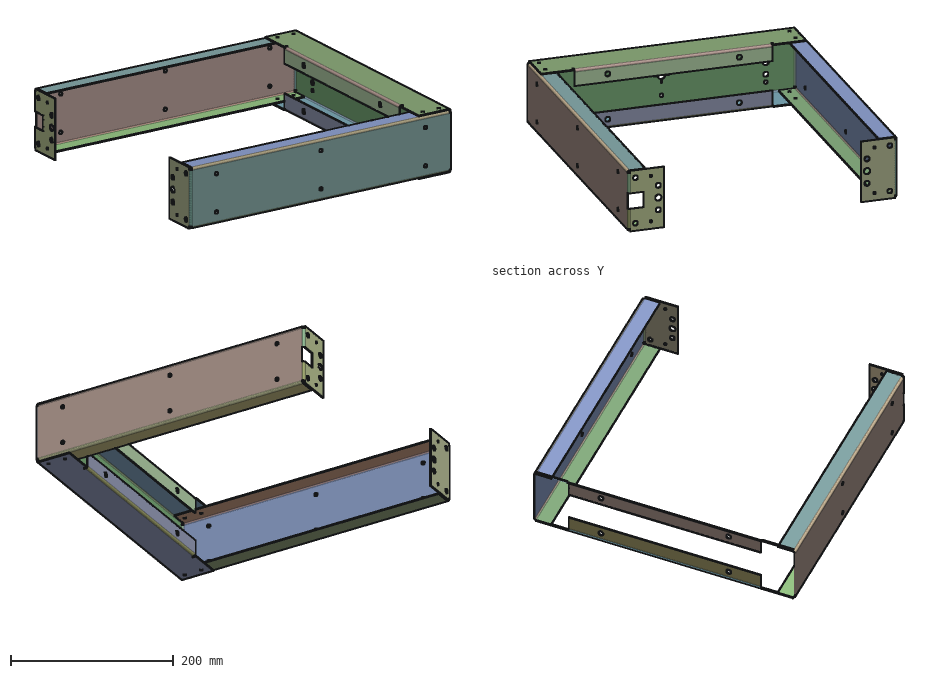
import cadquery as cq

WIDTH = 350.0
DEPTH = 385.0
HEIGHT = 83.0

SHEET = 1.5
BEND_OUTER = 3.0
BEND_INNER = BEND_OUTER - SHEET

SIDE_HEIGHT = HEIGHT - 2 * SHEET
SIDE_FLANGE = 23.5
REAR_FLANGE = 47.0
LIP_HALF_LENGTH = 128.5
LIP_GAP = 39.0
LIP_RELIEF = 1.5
LIP_STEP = 0.5
END_FLANGE = 47.0

HALF_WIDTH = WIDTH / 2
HALF_DEPTH = DEPTH / 2
FLAT_X = HALF_WIDTH - BEND_OUTER
FLAT_Y = HALF_DEPTH - BEND_OUTER
FLANGE_EDGE_Y = HALF_DEPTH - REAR_FLANGE
LIP_FACE_Y = FLANGE_EDGE_Y - LIP_STEP
BEND_HALF_HEIGHT = SIDE_HEIGHT / 2 - BEND_OUTER

LIP_HOLE, LIP_HOLE_X, LIP_HOLE_Z = 6.5, 85.5, 30.0
WEB_HOLE = 4.5
WEB_HOLE_EDGE = 15.0
SIDE_WEB_HOLE_Y = 153.5
REAR_WEB_HOLE_X = 135.5
RIVET_HOLE, RIVET_X, RIVET_Y = 3.3, 162.5, (157.5, 181.0)
CORNER_HOLE, CORNER_HOLE_X = 6.0, 165.0
PILOT_HOLE, PILOT_HOLE_X = 3.0, 145.0
END_HOLE_Z = 30.0
RACK_X = 135.5
RACK_HOLE, RACK_HOLE_Z = 6.5, 16.0
RACK_CENTRE_HOLE = 8.0

CROSS_HOLE = 10.0
CROSS_SPAN = 20.0
CROSS_SLOT = 1.5

WINDOW_WIDTH = 20.5
WINDOW_HEIGHT = 20.5


def block(x_range, y_range, z_range):
    """Box between two limits on each axis."""
    limits = (x_range, y_range, z_range)
    size = [high - low for low, high in limits]
    centre = [(high + low) / 2 for low, high in limits]
    return cq.Workplane("XY").box(*size).translate(tuple(centre))


def tube(x_range, y_range, z_range, axis):
    """Folded sheet tube along an axis, with rounded bends."""
    outer = block(x_range, y_range, z_range).edges("|" + axis).fillet(BEND_OUTER)
    walls = {"X": x_range, "Y": y_range, "Z": z_range}
    for name, (low, high) in walls.items():
        if name != axis:
            walls[name] = (low + SHEET, high - SHEET)
    inner = block(walls["X"], walls["Y"], walls["Z"]).edges("|" + axis).fillet(BEND_INNER)
    return outer.cut(inner)


def both_sides(left):
    """Left-hand body joined with its mirror image."""
    return left.union(left.mirror("YZ"))


def bore_y(diameter, points, y_range):
    """Round cutters along Y at (x, z) points."""
    start, end = y_range
    plane = cq.Workplane("XZ", origin=(0, start, 0))
    return plane.pushPoints(points).circle(diameter / 2).extrude(start - end)


def four_corners(a, b):
    """Points mirrored about both axes of a plane."""
    return [(i * a, j * b) for i in (-1, 1) for j in (-1, 1)]


def rear_channel():
    """Rear web with top and bottom flanges and two inturned lips."""
    z_range = (-HEIGHT / 2, HEIGHT / 2)

    channel = tube((-FLAT_X, FLAT_X), (FLANGE_EDGE_Y - BEND_OUTER, HALF_DEPTH), z_range, "X")
    channel = channel.cut(block((-WIDTH, WIDTH), (0, FLANGE_EDGE_Y), (-HEIGHT, HEIGHT)))

    notch_back = FLANGE_EDGE_Y + BEND_OUTER + LIP_RELIEF
    notch_x = LIP_HALF_LENGTH + LIP_RELIEF
    channel = channel.cut(block((-notch_x, notch_x), (0, notch_back), (-HEIGHT, HEIGHT)))

    lip_x = (-LIP_HALF_LENGTH, LIP_HALF_LENGTH)
    lips = tube(lip_x, (LIP_FACE_Y, HALF_DEPTH), z_range, "X")
    lips = lips.intersect(block(lip_x, (0, notch_back), (-HEIGHT, HEIGHT)))
    lips = lips.cut(block(lip_x, (0, notch_back), (-LIP_GAP / 2, LIP_GAP / 2)))
    return channel.union(lips)


def side_channel():
    """Left side web with its top and bottom flanges."""
    inner_edge = -HALF_WIDTH + SIDE_FLANGE
    z_range = (-SIDE_HEIGHT / 2, SIDE_HEIGHT / 2)
    y_range = (-FLAT_Y, FLAT_Y)
    channel = tube((-HALF_WIDTH, inner_edge + BEND_OUTER), y_range, z_range, "Y")
    return channel.cut(block((inner_edge, 0), (-DEPTH, DEPTH), (-HEIGHT, HEIGHT)))


def corner_bends():
    """Vertical bends at the two ends of the left side web."""
    ring = tube((-HALF_WIDTH, 0), (-HALF_DEPTH, HALF_DEPTH), (-BEND_HALF_HEIGHT, BEND_HALF_HEIGHT), "Z")
    front = block((-HALF_WIDTH, -FLAT_X), (-HALF_DEPTH, -FLAT_Y), (-HEIGHT, HEIGHT))
    rear = block((-HALF_WIDTH, -FLAT_X), (FLAT_Y, HALF_DEPTH), (-HEIGHT, HEIGHT))
    return ring.intersect(front.union(rear))


def end_flange():
    """Left front plate, turned inward from the side web."""
    half_height = SIDE_HEIGHT / 2
    x_range = (-FLAT_X, -HALF_WIDTH + END_FLANGE)
    return block(x_range, (-HALF_DEPTH, -HALF_DEPTH + SHEET), (-half_height, half_height))


def end_flange_holes():
    y_range = (-HALF_DEPTH - SHEET, -FLAT_Y)
    holes = bore_y(CORNER_HOLE, four_corners(CORNER_HOLE_X, END_HOLE_Z), y_range)
    holes = holes.union(bore_y(PILOT_HOLE, four_corners(PILOT_HOLE_X, END_HOLE_Z), y_range))
    return holes


def rack_holes():
    """Columns of three holes, in line through the end flanges and the rear web."""
    y_range = (-HALF_DEPTH - SHEET, HALF_DEPTH + SHEET)
    holes = bore_y(RACK_HOLE, four_corners(RACK_X, RACK_HOLE_Z), y_range)
    return holes.union(bore_y(RACK_CENTRE_HOLE, [(-RACK_X, 0), (RACK_X, 0)], y_range))


def window():
    """Opening that runs from the left end flange out through its bend."""
    x_range = (-HALF_WIDTH, -HALF_WIDTH + WINDOW_WIDTH)
    return block(x_range, (-HALF_DEPTH, -FLAT_Y), (-WINDOW_HEIGHT / 2, WINDOW_HEIGHT / 2))


def lip_holes():
    y_range = (LIP_FACE_Y - SHEET, LIP_FACE_Y + BEND_OUTER)
    return bore_y(LIP_HOLE, four_corners(LIP_HOLE_X, LIP_HOLE_Z), y_range)


def cross_hole():
    y_range = (FLAT_Y, HALF_DEPTH)
    half_span = CROSS_SPAN / 2
    half_slot = CROSS_SLOT / 2
    across = block((-half_span, half_span), y_range, (-half_slot, half_slot))
    upright = block((-half_slot, half_slot), y_range, (-half_span, half_span))
    return bore_y(CROSS_HOLE, [(0, 0)], y_range).union(across).union(upright)


def web_hole_points(reach, web_height):
    """Two rows of three hole positions, a fixed distance from the web's top and bottom."""
    row = web_height / 2 - WEB_HOLE_EDGE
    return [(place, z) for place in (-reach, 0, reach) for z in (-row, row)]


def side_web_holes():
    points = web_hole_points(SIDE_WEB_HOLE_Y, SIDE_HEIGHT)
    return cq.Workplane("YZ").pushPoints(points).circle(WEB_HOLE / 2).extrude(WIDTH, both=True)


def rear_web_holes():
    points = web_hole_points(REAR_WEB_HOLE_X, HEIGHT)
    return bore_y(WEB_HOLE, points, (FLAT_Y, HALF_DEPTH))


def rivet_holes():
    """Holes through the overlapping rear and side flanges."""
    points = [(x, y) for x in (-RIVET_X, RIVET_X) for y in RIVET_Y]
    return cq.Workplane("XY").pushPoints(points).circle(RIVET_HOLE / 2).extrude(HEIGHT, both=True)


left_side = side_channel().union(corner_bends()).union(end_flange())
result = rear_channel().union(both_sides(left_side))
flange_cuts = (end_flange_holes(), rack_holes(), window(), lip_holes())
web_cuts = (cross_hole(), side_web_holes(), rear_web_holes(), rivet_holes())
for cutter in flange_cuts + web_cuts:
    result = result.cut(cutter)